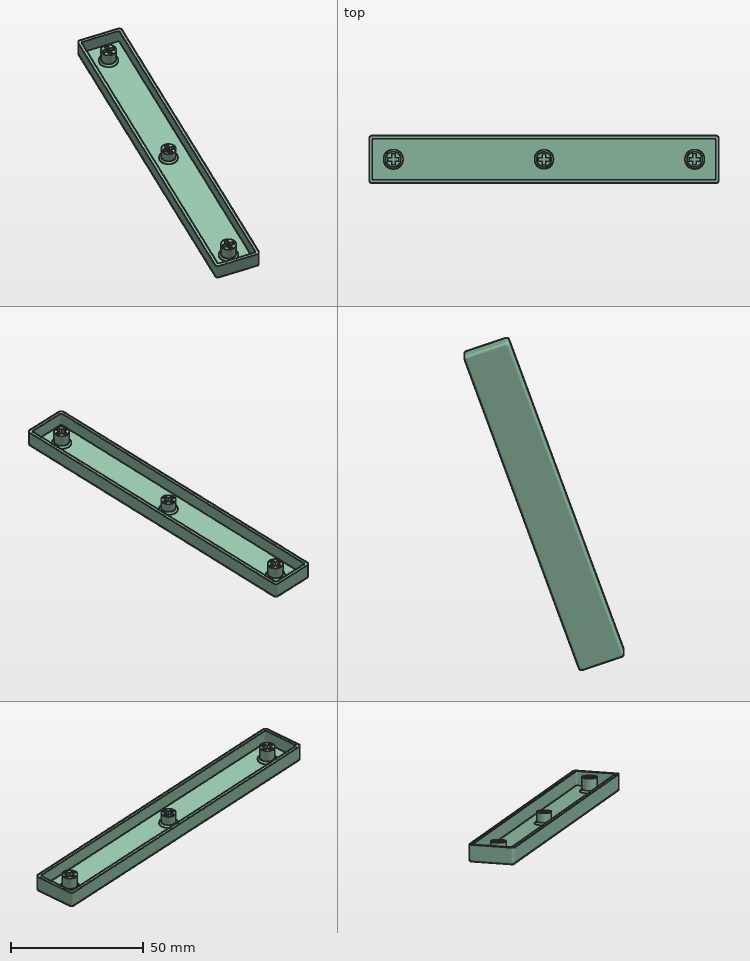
import cadquery as cq

length = 132.35
width = 18.05
height = 6.7
wall = 1.25
floor_thickness = 1.2
outer_corner_radius = 1.2
inner_corner_radius = 0.5
bottom_edge_radius = 1.0

stem_spacing = 57.0
root_chamfer = 0.8
slot_width = 1.3
slot_length = 4.3
slot_depth = 4.2
end_stem_diameter = 5.8
end_stem_top = height
center_stem_diameter = 5.6
center_stem_drop = 1.0
center_stem_top = height - center_stem_drop


def make_shell():
    """Rounded block with a flat-floored rectangular cavity."""
    block = cq.Workplane("XY").rect(length, width).extrude(height)
    block = block.edges("|Z").fillet(outer_corner_radius)
    block = block.faces("<Z").edges().fillet(bottom_edge_radius)
    cavity = (
        cq.Workplane("XY")
        .workplane(offset=floor_thickness)
        .rect(length - 2 * wall, width - 2 * wall)
        .extrude(height - floor_thickness)
        .edges("|Z")
        .fillet(inner_corner_radius)
    )
    return block.cut(cavity)


def make_stem(diameter, stem_top):
    """Round post with a 45 degree conical root and a cross-shaped socket in its top."""
    radius = diameter / 2
    root_radius = radius + root_chamfer
    root_top = floor_thickness + root_chamfer
    profile = (
        cq.Workplane("XZ")
        .lineTo(root_radius, 0)
        .lineTo(root_radius, floor_thickness)
        .lineTo(radius, root_top)
        .lineTo(radius, stem_top)
        .lineTo(0, stem_top)
        .close()
    )
    post = profile.revolve(axisStart=(0, 0, 0), axisEnd=(0, 1, 0))
    socket_floor = cq.Workplane("XY").workplane(offset=stem_top - slot_depth)
    slot_x = socket_floor.rect(slot_length, slot_width).extrude(slot_depth)
    slot_y = socket_floor.rect(slot_width, slot_length).extrude(slot_depth)
    return post.cut(slot_x).cut(slot_y)


result = make_shell()
result = result.union(make_stem(center_stem_diameter, center_stem_top))
for x in (-stem_spacing, stem_spacing):
    end_stem = make_stem(end_stem_diameter, end_stem_top).translate((x, 0, 0))
    result = result.union(end_stem)